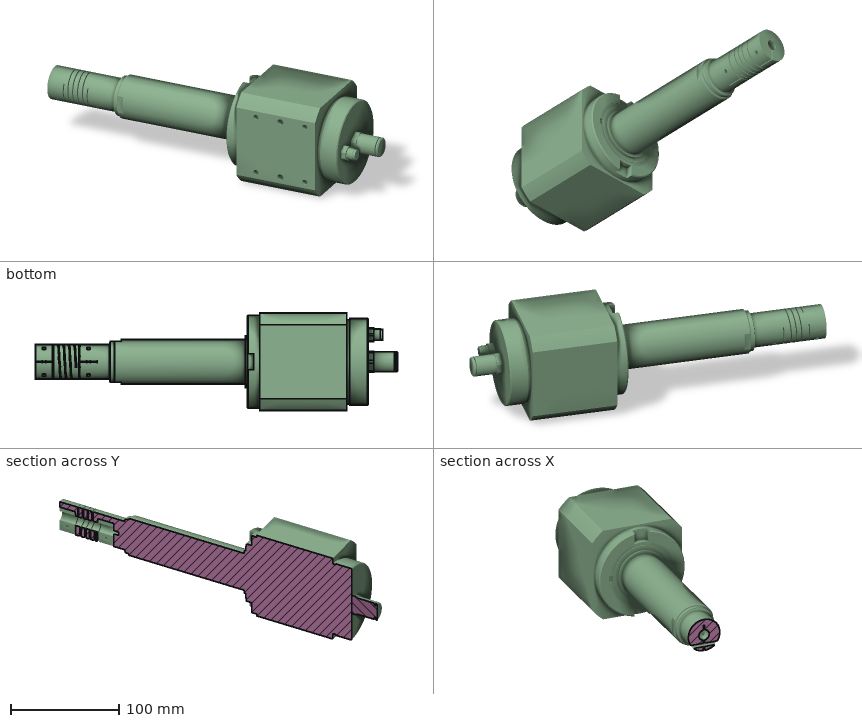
import cadquery as cq
import math

EPS = 1.0

NOSE_DIAMETER = 32.0
CLAMP_LENGTH = 57.0
CLAMP_MIDDLE = CLAMP_LENGTH / 2
CLAMP_BORE_DIAMETER = 9.9
CENTRE_HOLE_DIAMETER = 3.0
CENTRE_HOLE_DEPTH = 5.0
SLIT_WIDTH = 1.0
HUB_LENGTH = 16.3
CROSS_SLIT_TOP_Z = 7.5
AXIAL_SLIT_TOP_Z = 9.5
CLAMP_SCREW_DIAMETER = 3.0
CLAMP_SCREW_INSET = 8.0
CLAMP_SCREW_Z = -10.0
COIL_PITCH = 5.0
COIL_LEAD_ANGLE = 18.0
COIL_TURNS = 3.5 + 2 * COIL_LEAD_ANGLE / 360

COLLAR_START = 69.1
COLLAR_DIAMETER = 38.0
COLLAR_CONE_LENGTH = 0.9
COLLAR_CONE_DIAMETER = 37.0
SLEEVE_START = 72.7
SLEEVE_DIAMETER = 41.5
SLEEVE_CHAMFER = 0.8
FLAT_END = 79.2
RING_START = 193.7
RING_DIAMETER = 48.0

FLANGE_START = 195.5
FLANGE_DIAMETER = 86.0
FLANGE_CHAMFER = 1.0
PILOT_DIAMETER = 64.0
PILOT_GROOVE_DEPTH = 0.5
PILOT_INNER_DIAMETER = 57.5
PILOT_NOTCH_WIDTH = 6.0
PILOT_NOTCH_DEPTH = 1.5
PILOT_NOTCH_OUTER_Y = 33.0
KEY_SLOT_WIDTH = 15.0
KEY_SLOT_DEPTH = 6.2

BOX_START = 207.0
BOX_LENGTH = 80.5
BOX_END = BOX_START + BOX_LENGTH
BOX_SIZE = 90.0
BOX_CORNER_DIAMETER = 113.0
MOUNT_HOLE_Z = 28.0
MOUNT_HOLE_SPACING = 25.0
MOUNT_HOLE_MIDDLE_X = 252.0
MOUNT_HOLE_DIAMETERS = (5.0, 6.0, 5.0)
MOUNT_HOLE_DEPTH = 10.0
DRILL_POINT_ANGLE = 118.0

CAP_NECK_DIAMETER = 78.0
CAP_DIAMETER = 80.0
CAP_START = 290.2
CAP_END = 307.3
CAP_CHAMFER = 0.9

CONNECTOR_HEX_LENGTH = 5.0
LARGE_HEX_FLATS = 19.2
LARGE_HEX_CORNERS = 20.8
LARGE_DIAMETER = 18.5
LARGE_GROOVE_DIAMETER = 14.0
LARGE_GROOVE_START = 331.2
LARGE_GROOVE_END = 332.2
LARGE_TIP_DIAMETER = 16.66
LARGE_TIP_CHAMFER = 0.9
OVERALL_LENGTH = 334.3
SMALL_Y = -25.0
SMALL_HEX_FLATS = 13.0
SMALL_HEX_CORNERS = 14.0
SMALL_DIAMETER = 10.6
SMALL_TIP_START = 318.2
SMALL_TIP_DIAMETER = 9.9
SMALL_END = 320.7


def turned(profile):
    """Solid of revolution about X through (x, diameter) points, open ends closed on the axis."""
    points = [(profile[0][0], 0)]
    points += [(x, diameter / 2) for x, diameter in profile]
    if profile[-1][1] > 0:
        points.append((profile[-1][0], 0))
    return cq.Workplane("XY").polyline(points).close().revolve(360, (0, 0, 0), (1, 0, 0))


def rod(start, end, diameter):
    return turned([(start, diameter), (end, diameter)])


def block(x_range, y_range, z_range):
    size = [high - low for low, high in (x_range, y_range, z_range)]
    corner = (x_range[0], y_range[0], z_range[0])
    return cq.Workplane("XY").box(*size, centered=False).translate(corner)


def drive_blank():
    """Nose, sleeve, front flange and rear cap as one stepped turning."""
    return turned([
        (0, NOSE_DIAMETER),
        (COLLAR_START - COLLAR_CONE_LENGTH, NOSE_DIAMETER),
        (COLLAR_START, COLLAR_CONE_DIAMETER),
        (COLLAR_START, COLLAR_DIAMETER),
        (SLEEVE_START, COLLAR_DIAMETER),
        (SLEEVE_START, SLEEVE_DIAMETER - 2 * SLEEVE_CHAMFER),
        (SLEEVE_START + SLEEVE_CHAMFER, SLEEVE_DIAMETER),
        (RING_START, SLEEVE_DIAMETER),
        (RING_START, RING_DIAMETER),
        (FLANGE_START, RING_DIAMETER),
        (FLANGE_START, FLANGE_DIAMETER - 2 * FLANGE_CHAMFER),
        (FLANGE_START + FLANGE_CHAMFER, FLANGE_DIAMETER),
        (BOX_START, FLANGE_DIAMETER),
        (BOX_START, CAP_NECK_DIAMETER),
        (CAP_START, CAP_NECK_DIAMETER),
        (CAP_START, CAP_DIAMETER),
        (CAP_END - CAP_CHAMFER, CAP_DIAMETER),
        (CAP_END, CAP_DIAMETER - 2 * CAP_CHAMFER),
    ])


def motor_box():
    """Square box with its long edges turned down to a common cylinder."""
    half = BOX_SIZE / 2
    box = block((BOX_START, BOX_END), (-half, half), (-half, half))
    return box.intersect(rod(BOX_START, BOX_END, BOX_CORNER_DIAMETER))


def mount_hole(diameter):
    """Blind drilled hole along X from the origin, with a conical bottom."""
    point_length = diameter / 2 / math.tan(math.radians(DRILL_POINT_ANGLE / 2))
    return turned([(0, diameter), (MOUNT_HOLE_DEPTH, diameter), (MOUNT_HOLE_DEPTH + point_length, 0)])


def mount_holes():
    """Two rows of blind holes in the -Y face of the box, pointing to +Y."""
    holes = cq.Workplane("XY")
    for index, diameter in enumerate(MOUNT_HOLE_DIAMETERS):
        x = MOUNT_HOLE_MIDDLE_X + (index - 1) * MOUNT_HOLE_SPACING
        hole = mount_hole(diameter).rotate((0, 0, 0), (0, 0, 1), 90)
        for z in (-MOUNT_HOLE_Z, MOUNT_HOLE_Z):
            holes = holes.union(hole.translate((x, -BOX_SIZE / 2, z)))
    return holes


def sleeve_flats():
    """Two wrench flats at +Y and -Y, level with the collar."""
    flat_y = COLLAR_DIAMETER / 2
    reach = SLEEVE_DIAMETER / 2
    low = block((SLEEVE_START, FLAT_END), (-reach, -flat_y), (-reach, reach))
    return low.union(low.mirror("XZ"))


def key_slots():
    """Two radial slots in the flange face, at +Z and -Z, stopping at the pilot."""
    half_width = KEY_SLOT_WIDTH / 2
    reach = FLANGE_DIAMETER / 2 + EPS
    slot_end = FLANGE_START + KEY_SLOT_DEPTH
    bar = block((FLANGE_START - EPS, slot_end), (-half_width, half_width), (-reach, reach))
    return bar.cut(rod(FLANGE_START - EPS, slot_end, PILOT_DIAMETER))


def pilot_groove():
    """Shallow ring groove in the flange face, between the pilot and its inner ring."""
    end = FLANGE_START + PILOT_GROOVE_DEPTH
    ring = rod(FLANGE_START, end, PILOT_DIAMETER)
    return ring.cut(rod(FLANGE_START, end, PILOT_INNER_DIAMETER))


def pilot_notch():
    """Small notch across the ring groove at +Y."""
    half_width = PILOT_NOTCH_WIDTH / 2
    return block(
        (FLANGE_START, FLANGE_START + PILOT_NOTCH_DEPTH),
        (PILOT_INNER_DIAMETER / 2, PILOT_NOTCH_OUTER_Y),
        (-half_width, half_width),
    )


def coil_slot():
    """Helical slot that turns the middle of the clamp into a spring, cut through to the bore."""
    inner = CLAMP_BORE_DIAMETER / 2 - EPS
    outer = NOSE_DIAMETER / 2 + EPS
    length = COIL_TURNS * COIL_PITCH
    path = cq.Workplane(cq.Wire.makeHelix(COIL_PITCH, length, outer))
    slot = (
        cq.Workplane("XZ")
        .center((inner + outer) / 2, 0)
        .rect(outer - inner, SLIT_WIDTH)
        .sweep(path, isFrenet=True)
    )
    slot = slot.rotate((0, 0, 0), (0, 1, 0), 90)
    slot = slot.rotate((0, 0, 0), (1, 0, 0), 180 - COIL_LEAD_ANGLE)
    return slot.translate((CLAMP_MIDDLE - length / 2, 0, 0))


def hub_cuts(end_x, inward):
    """Cross slit, axial slit and clamp screw hole of one hub; inward is +1 or -1 along X."""
    reach = NOSE_DIAMETER / 2 + EPS
    half_slit = SLIT_WIDTH / 2
    slit_x = end_x + inward * HUB_LENGTH
    cross = block((slit_x - half_slit, slit_x + half_slit), (-reach, reach), (-reach, CROSS_SLIT_TOP_Z))
    axial = block(sorted((end_x, slit_x)), (-half_slit, half_slit), (-reach, AXIAL_SLIT_TOP_Z))
    screw = (
        cq.Workplane("XZ")
        .center(end_x + inward * CLAMP_SCREW_INSET, CLAMP_SCREW_Z)
        .circle(CLAMP_SCREW_DIAMETER / 2)
        .extrude(reach, both=True)
    )
    return cross.union(axial).union(screw)


def make_drive():
    drive = drive_blank().union(motor_box())
    drive = drive.cut(mount_holes()).cut(sleeve_flats())
    drive = drive.cut(key_slots()).cut(pilot_groove()).cut(pilot_notch())
    drive = drive.cut(coil_slot())
    drive = drive.cut(rod(0, CLAMP_LENGTH, CLAMP_BORE_DIAMETER))
    drive = drive.cut(rod(CLAMP_LENGTH, CLAMP_LENGTH + CENTRE_HOLE_DEPTH, CENTRE_HOLE_DIAMETER))
    for end_x, inward in ((0, 1), (CLAMP_LENGTH, -1)):
        drive = drive.cut(hub_cuts(end_x, inward))
    return drive


def connector_hex(across_flats, corner_diameter):
    """Hexagon on the cap face with corners up and down, its corners turned off."""
    hexagon = (
        cq.Workplane("YZ", origin=(CAP_END, 0, 0))
        .polygon(6, across_flats / math.cos(math.pi / 6))
        .extrude(CONNECTOR_HEX_LENGTH)
        .rotate((0, 0, 0), (1, 0, 0), 30)
    )
    return hexagon.intersect(rod(CAP_END, CAP_END + CONNECTOR_HEX_LENGTH, corner_diameter))


def make_large_connector():
    barrel = turned([
        (CAP_END, LARGE_DIAMETER),
        (LARGE_GROOVE_START, LARGE_DIAMETER),
        (LARGE_GROOVE_START, LARGE_GROOVE_DIAMETER),
        (LARGE_GROOVE_END, LARGE_GROOVE_DIAMETER),
        (LARGE_GROOVE_END, LARGE_DIAMETER),
        (OVERALL_LENGTH - LARGE_TIP_CHAMFER, LARGE_DIAMETER),
        (OVERALL_LENGTH, LARGE_TIP_DIAMETER),
    ])
    return connector_hex(LARGE_HEX_FLATS, LARGE_HEX_CORNERS).union(barrel)


def make_small_connector():
    barrel = turned([
        (CAP_END, SMALL_DIAMETER),
        (SMALL_TIP_START, SMALL_DIAMETER),
        (SMALL_TIP_START, SMALL_TIP_DIAMETER),
        (SMALL_END, SMALL_TIP_DIAMETER),
    ])
    connector = connector_hex(SMALL_HEX_FLATS, SMALL_HEX_CORNERS).union(barrel)
    return connector.translate((0, SMALL_Y, 0))


drive = make_drive()
large_connector = make_large_connector()
small_connector = make_small_connector()

result = cq.Compound.makeCompound([drive.val(), large_connector.val(), small_connector.val()])